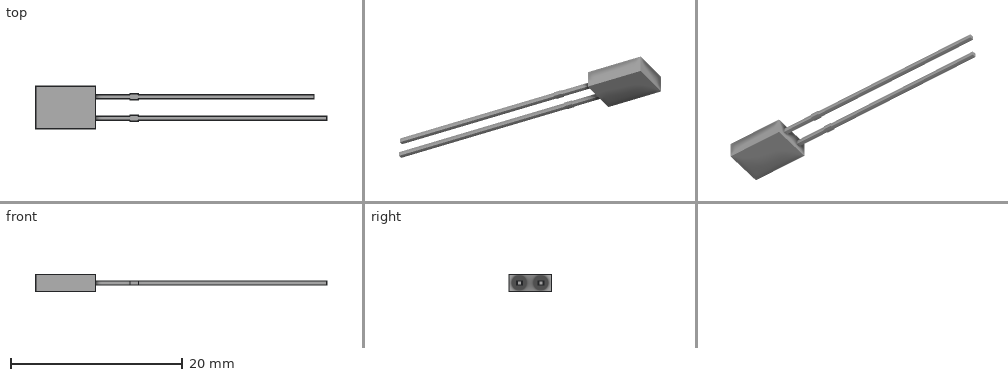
import cadquery as cq

body_length = 7.0
body_width = 5.0
body_height = 2.0

overall_length = 34.0
lead_size = 0.5
lead_pitch = 2.5
short_lead_setback = 1.5
long_lead_length = overall_length - body_length
short_lead_length = long_lead_length - short_lead_setback

collar_gap = 4.0
collar_length = 1.0
collar_width = 0.7


def bar_along_x(start, length, width, height, center_y=0.0):
    """Rectangular bar running in +X from start, centred on Z = 0."""
    return (
        cq.Workplane("XY")
        .box(length, width, height, centered=(False, True, True))
        .translate((start, center_y, 0))
    )


def lead(length, center_y):
    """Lead with its collar, starting at the inner face of the body."""
    wire = bar_along_x(body_length, length, lead_size, lead_size, center_y)
    collar_start = body_length + collar_gap
    collar = bar_along_x(collar_start, collar_length, collar_width, lead_size, center_y)
    return wire.union(collar)


body = bar_along_x(0, body_length, body_width, body_height)
long_lead = lead(long_lead_length, -lead_pitch / 2)
short_lead = lead(short_lead_length, lead_pitch / 2)

result = body.union(long_lead).union(short_lead)